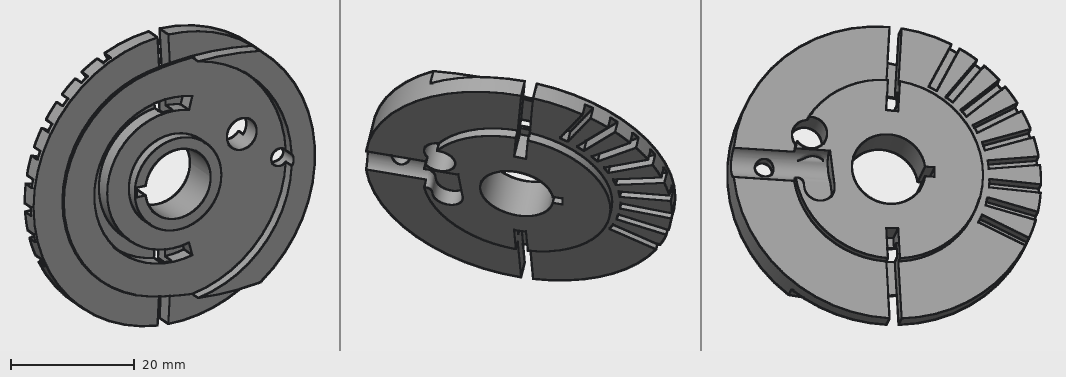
import cadquery as cq
import math

hub_thickness = 1.5
disc_thickness = 3.0
step_thickness = 0.5
rim_thickness = 2.0

disc_front = hub_thickness
disc_back = disc_front + disc_thickness
step_back = disc_back + step_thickness
rim_back = step_back + rim_thickness

disc_radius = 25.3
hub_radius = 15.5
boss_radius = 8.0

step_radius = 20.0
blend_start_y = -4.3
blend_end_y = 15.2
rim_inner_radius = 21.0

groove_inner_radius = 12.0
groove_outer_radius = 14.4
groove_front = 2.25
groove_end_angle = 75.0

bore_radius = 6.05
keyway_reach = 7.55
keyway_width = 1.65

slot_width = 2.0
slot_inner_radius = 10.25
slot_lean = 3.2

notch_count = 9
notch_first_angle = -24.4
notch_pitch = 11.0
notch_width = 1.45
notch_depth = 2.05
notch_inner_radius = 16.8

channel_half_width = 2.55
channel_axis_depth = hub_thickness / 2
channel_radius = math.hypot(channel_half_width, channel_axis_depth)

leaning_pocket_start_y = 11.85
leaning_pocket_width = 5.0
leaning_pocket_run = 3.8
leaning_pocket_tilt = 7.0
leaning_pocket_floor = 2.85
leaning_pocket_rounding = 1.0

large_hole_radius = 2.75
large_hole_orbit = 14.0
large_hole_angle = 23.0
small_hole_radius = 1.5
small_hole_y = 19.85


def layer(depth):
    """Sketch plane facing +X at a given depth behind the hub face; local x is Y, local y is Z."""
    return cq.Workplane("YZ", origin=(depth, 0, 0))


def disc(radius, start, end):
    return layer(start).circle(radius).extrude(end - start)


def polar(radius, angle):
    """Point at an angle measured from +Y toward +Z."""
    return radius * math.cos(math.radians(angle)), radius * math.sin(math.radians(angle))


def radial_bar(inner_radius, width, start, end, angle):
    """Bar reaching from inner_radius past the disc edge, turned from +Y toward +Z."""
    outer_radius = disc_radius + width
    bar = (
        layer(start)
        .center((inner_radius + outer_radius) / 2, 0)
        .rect(outer_radius - inner_radius, width)
        .extrude(end - start)
    )
    return bar.rotate((0, 0, 0), (1, 0, 0), angle)


def backing():
    """Step and rim: blend arcs tangent to the small arc run out to the disc edge."""
    start_z = math.sqrt(step_radius**2 - blend_start_y**2)
    end_z = math.sqrt(disc_radius**2 - blend_end_y**2)
    end_along_radius = (blend_end_y * blend_start_y + end_z * start_z) / step_radius
    center_offset = (disc_radius**2 - step_radius**2) / (2 * (step_radius - end_along_radius))
    blend_radius = step_radius + center_offset
    crown_y = -center_offset * blend_start_y / step_radius
    crown_z = blend_radius - center_offset * start_z / step_radius
    body = (
        layer(disc_back)
        .moveTo(blend_start_y, -start_z)
        .threePointArc((-step_radius, 0), (blend_start_y, start_z))
        .threePointArc((crown_y, crown_z), (blend_end_y, end_z))
        .threePointArc((disc_radius, 0), (blend_end_y, -end_z))
        .threePointArc((crown_y, -crown_z), (blend_start_y, -start_z))
        .close()
        .extrude(rim_back - disc_back)
    )
    body = body.cut(disc(rim_inner_radius, step_back, rim_back))
    return body.union(disc(boss_radius, disc_back, rim_back))


def arc_groove():
    """C-shaped groove, open at the back, with its gap centred on +Y."""
    start = groove_end_angle
    end = -groove_end_angle
    return (
        layer(groove_front)
        .moveTo(*polar(groove_inner_radius, start))
        .threePointArc((-groove_inner_radius, 0), polar(groove_inner_radius, end))
        .lineTo(*polar(groove_outer_radius, end))
        .threePointArc((-groove_outer_radius, 0), polar(groove_outer_radius, start))
        .close()
        .extrude(step_back - groove_front)
    )


def bore_with_keyway():
    keyway = layer(0).center(-keyway_reach / 2, 0).rect(keyway_reach, keyway_width).extrude(rim_back)
    return disc(bore_radius, 0, rim_back).union(keyway)


def leaning(body):
    """Move a body laid out along Z at the part axis onto the start of the leaning pocket."""
    return body.rotate((0, 0, 0), (1, 0, 0), -leaning_pocket_tilt).translate((0, leaning_pocket_start_y, 0))


def channel():
    bar = (
        cq.Workplane("XZ", origin=(channel_axis_depth, disc_radius, 0))
        .circle(channel_radius)
        .extrude(disc_radius)
    )
    outside = layer(0).center(disc_radius - leaning_pocket_width / 2, 0)
    outside = outside.rect(2 * disc_radius, disc_radius).extrude(disc_back)
    return bar.intersect(leaning(outside))


def leaning_pocket():
    slot = (
        layer(0)
        .center(0, -leaning_pocket_run / 2)
        .slot2D(leaning_pocket_run + leaning_pocket_width, leaning_pocket_width, 90)
        .extrude(leaning_pocket_floor)
    )
    return leaning(slot)


def round_pocket_mouth(body):
    """Round the ridges left where the leaning pocket breaks through the channel."""
    inner_y = leaning_pocket_start_y - leaning_pocket_width / 2 + leaning_pocket_rounding
    outer_y = leaning_pocket_start_y + leaning_pocket_width / 2
    half = channel_half_width
    short_of_floor = leaning_pocket_floor - leaning_pocket_rounding / 2
    floor_region = cq.selectors.BoxSelector(
        (channel_axis_depth, inner_y, -half), (disc_back, outer_y, half)
    )
    wall_region = cq.selectors.BoxSelector(
        (channel_axis_depth, inner_y, -half), (short_of_floor, outer_y, half)
    )
    ridges = body.edges(floor_region).edges("|Y").add(body.edges(wall_region))
    return ridges.fillet(leaning_pocket_rounding)


def hole(radius, center):
    return layer(0).center(*center).circle(radius).extrude(rim_back)


result = disc(hub_radius, 0, disc_front)
result = result.union(disc(disc_radius, disc_front, disc_back)).union(backing())
result = result.cut(arc_groove()).cut(bore_with_keyway())

for slot_angle in (90 + slot_lean, -90 - slot_lean):
    result = result.cut(radial_bar(slot_inner_radius, slot_width, 0, disc_back, slot_angle))

for index in range(notch_count):
    notch_angle = 180 - (notch_first_angle + index * notch_pitch)
    result = result.cut(
        radial_bar(notch_inner_radius, notch_width, disc_front, disc_front + notch_depth, notch_angle)
    )

result = round_pocket_mouth(result.cut(channel()).cut(leaning_pocket()))
result = result.cut(hole(large_hole_radius, polar(large_hole_orbit, large_hole_angle)))
result = result.cut(hole(small_hole_radius, (small_hole_y, 0)))